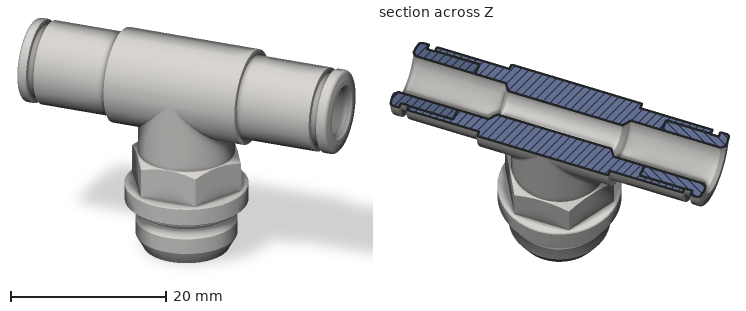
import cadquery as cq
import math

overall_length = 43.0
collar_length = 18.05
collar_diameter = 12.5
barrel_diameter = 11.0
bore_diameter = 4.0
tube_diameter = 6.2
tube_socket_end = 12.9
tube_stop_length = 0.75

collet_mouth_diameter = 7.2
collet_face_diameter = 8.5
collet_rim_diameter = 10.1
collet_rim_setback = 0.15
collet_round_end = 0.55
rim_round = 0.47
collet_head_end = 1.45
collet_neck_diameter = 9.5
collet_gap_end = 2.5
collet_end = 8.6
mouth_chamfer = (collet_mouth_diameter - tube_diameter) / 2

total_height = 28.95
screw_bottom = collar_diameter / 2 - total_height
hex_top = -9.2
flange_top = -13.7
flange_bottom = -16.2
seal_bottom = -17.0
neck_bottom = -17.8
hex_across_flats = 13.0
hex_chamfer_angle = 30.0
flange_diameter = 16.0
flange_chamfer = 0.15
neck_diameter = 11.2
thread_diameter = 13.15
thread_top = neck_bottom - (thread_diameter - neck_diameter) / 2
thread_tip_height = 1.8
thread_tip_diameter = 11.2

seal_diameter = 14.8
seal_round = 0.65


def x_cylinder(diameter, start, end):
    """Cylinder on the run axis between two X positions."""
    return cq.Workplane("YZ", origin=(start, 0, 0)).circle(diameter / 2).extrude(end - start)


def both_ends(feature):
    """A feature at the -X end together with its mirror image at the +X end."""
    return [feature, feature.mirror("YZ")]


def make_tee():
    half_length = overall_length / 2
    barrel_end = half_length - collet_gap_end
    collar = x_cylinder(collar_diameter, -collar_length / 2, collar_length / 2)
    branch = cq.Workplane("XY").circle(collar_diameter / 2).extrude(hex_top)
    tee = collar.union(branch)
    for barrel in both_ends(x_cylinder(barrel_diameter, -barrel_end, -collar_length / 2)):
        tee = tee.union(barrel)
    tee = tee.cut(x_cylinder(bore_diameter, -half_length, half_length))
    for socket in both_ends(make_socket()):
        tee = tee.cut(socket)
    return tee


def make_socket():
    """Stepped socket at the -X end: collet seat, tube socket and conical tube stop."""
    outer_end = -overall_length / 2
    seat_x = outer_end + collet_end
    stop_x = outer_end + tube_socket_end
    return (
        cq.Workplane("XZ")
        .moveTo(outer_end, 0)
        .lineTo(outer_end, collet_neck_diameter / 2)
        .lineTo(seat_x, collet_neck_diameter / 2)
        .lineTo(seat_x, tube_diameter / 2)
        .lineTo(stop_x, tube_diameter / 2)
        .lineTo(stop_x + tube_stop_length, bore_diameter / 2)
        .lineTo(stop_x + tube_stop_length, 0)
        .close()
        .revolve(360, (0, 0, 0), (1, 0, 0))
    )


def make_collet():
    """Release collet at the -X end: rounded head, and a neck seated in the tee."""
    end_x = -overall_length / 2
    head_radius = barrel_diameter / 2
    rim_radius = collet_rim_diameter / 2
    neck_radius = collet_neck_diameter / 2
    return (
        cq.Workplane("XZ")
        .moveTo(end_x, collet_mouth_diameter / 2)
        .lineTo(end_x, collet_face_diameter / 2)
        .lineTo(end_x + collet_rim_setback, rim_radius)
        .radiusArc((end_x + collet_round_end, head_radius), rim_round)
        .lineTo(end_x + collet_head_end, head_radius)
        .lineTo(end_x + collet_head_end, neck_radius)
        .lineTo(end_x + collet_end, neck_radius)
        .lineTo(end_x + collet_end, tube_diameter / 2)
        .lineTo(end_x + mouth_chamfer, tube_diameter / 2)
        .close()
        .revolve(360, (0, 0, 0), (1, 0, 0))
    )


def z_cylinder(diameter, bottom, top):
    """Cylinder on the branch axis between two heights."""
    return cq.Workplane("XY", origin=(0, 0, bottom)).circle(diameter / 2).extrude(top - bottom)


def make_hex():
    """Hexagon with corners on X, its top corners trimmed by a cone."""
    across_corners = hex_across_flats / math.cos(math.radians(30))
    corner_overhang = (across_corners - hex_across_flats) / 2
    corner_drop = corner_overhang * math.tan(math.radians(hex_chamfer_angle))
    prism = (
        cq.Workplane("XY", origin=(0, 0, flange_top))
        .polygon(6, across_corners)
        .extrude(hex_top - flange_top)
    )
    trim = z_cylinder(across_corners, flange_top, hex_top)
    trim = trim.faces(">Z").chamfer(corner_drop, corner_overhang)
    return prism.intersect(trim)


def make_thread():
    """Neck and thread envelope below the flange, solid to the tip."""
    return (
        cq.Workplane("XZ")
        .moveTo(0, flange_bottom)
        .lineTo(neck_diameter / 2, flange_bottom)
        .lineTo(neck_diameter / 2, neck_bottom)
        .lineTo(thread_diameter / 2, thread_top)
        .lineTo(thread_diameter / 2, screw_bottom + thread_tip_height)
        .lineTo(thread_tip_diameter / 2, screw_bottom)
        .lineTo(0, screw_bottom)
        .close()
        .revolve(360, (0, 0, 0), (0, 1, 0))
    )


def make_screw():
    flange = z_cylinder(flange_diameter, flange_bottom, flange_top).edges().chamfer(flange_chamfer)
    return flange.union(make_hex()).union(make_thread())


def make_seal():
    ring = z_cylinder(seal_diameter, seal_bottom, flange_bottom)
    ring = ring.faces("<Z").edges().fillet(seal_round)
    return ring.cut(z_cylinder(neck_diameter, seal_bottom, flange_bottom))


tee = make_tee()
screw = make_screw()
seal = make_seal()
collets = both_ends(make_collet())

result = cq.Compound.makeCompound(
    [body.solids().val() for body in [tee, screw, seal, *collets]]
)